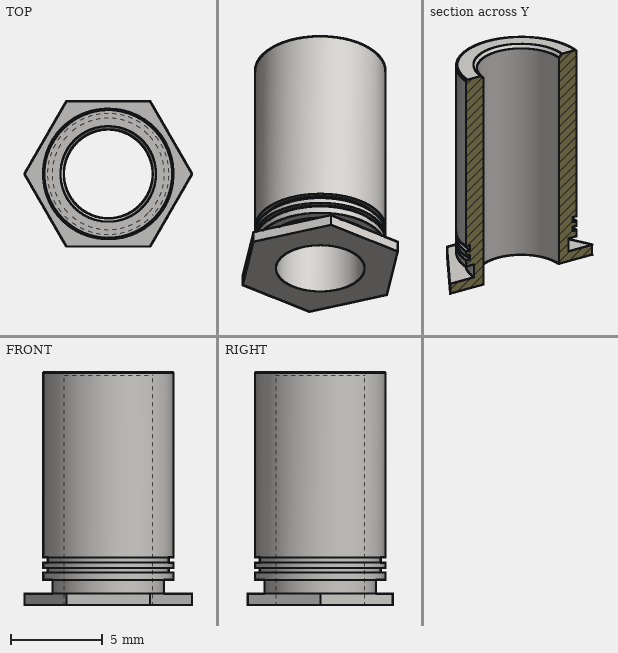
import cadquery as cq

total_height = 12.7
hex_across_corners = 9.15
hex_height = 0.62

body_diameter = 7.11
groove_diameter = 6.6
neck_diameter = 6.1

neck_top = 1.37
lower_ring_top = 1.78
lower_groove_top = 2.01
upper_ring_top = 2.31
upper_groove_top = 2.59
rim_chamfer = 0.08

bore_diameter = 4.83
bore_mouth_diameter = 5.21


def cylinder(diameter, bottom, top):
    """Upright cylinder on the Z axis between two heights."""
    return cq.Workplane("XY").workplane(offset=bottom).circle(diameter / 2).extrude(top - bottom)


part = cq.Workplane("XY").polygon(6, hex_across_corners).extrude(hex_height)

sections = [
    (neck_diameter, neck_top),
    (body_diameter, lower_ring_top),
    (groove_diameter, lower_groove_top),
    (body_diameter, upper_ring_top),
    (groove_diameter, upper_groove_top),
]
section_bottom = hex_height
for diameter, section_top in sections:
    part = part.union(cylinder(diameter, section_bottom, section_top))
    section_bottom = section_top

body = cylinder(body_diameter, upper_groove_top, total_height).faces(">Z").edges().chamfer(rim_chamfer)
part = part.union(body)

mouth_chamfer = (bore_mouth_diameter - bore_diameter) / 2
part = part.cut(cylinder(bore_diameter, 0, total_height))
result = part.faces(">Z").edges(cq.selectors.RadiusNthSelector(0)).chamfer(mouth_chamfer)